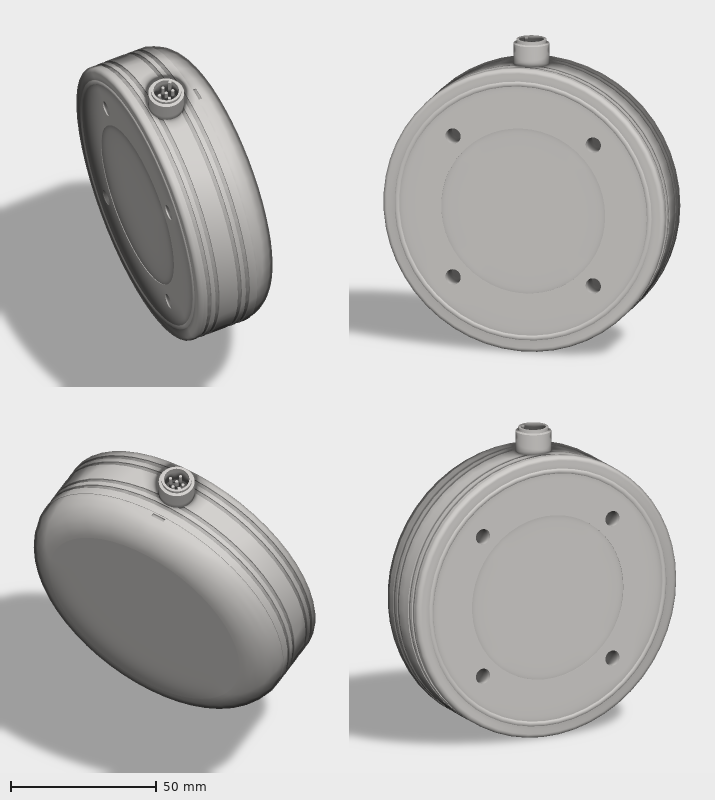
import cadquery as cq
import math

body_radius = 50.2
body_depth = 32.0
rim_fillet = 1.5

band_center = 11.0
groove_depth = 0.5
groove_width = 1.5
inner_groove_offset = 4.2
outer_groove_offset = 7.3

dome_length = 10.1
dome_edge_radius = 50.0
dome_arc_radius = 11.4

bead_radius = 45.0
bead_width = 1.7
bead_height = 0.3
bead_embed = 0.5
recess_radius = 29.2
recess_depth = 0.2
mount_hole_diameter = 5.4
mount_hole_spacing = 50.0
mount_hole_depth = 8.7

window_width = 4.9
window_length = 1.2
window_gap = 0.4
window_floor_height = 49.2

connector_top = 58.5
connector_radius = 6.2
collar_radius = 5.2
collar_height = 1.1
shoulder_slope_height = 0.3
socket_radius = 4.3
socket_floor_chamfer = 0.5
socket_depth = 7.1
socket_floor = connector_top - socket_depth
connector_embed = 3.3

pin_radius = 0.5
pin_circle_radius = 2.5
pin_top_gap = 1.4
pin_count = 4
key_width = 1.1
key_inner_radius = 3.4
key_angle = 135
floor_slot_count = 4
floor_slot_start = 2.4
floor_slot_width = 1.0
floor_slot_depth = 0.5


def make_housing():
    """Revolve the half section, with a flat back, a dome arc and a straight side."""
    dome_start = body_depth - dome_length
    rise = dome_arc_radius - dome_length
    arc_center_x = dome_edge_radius - math.sqrt(dome_arc_radius**2 - rise**2)
    arc_center_y = body_depth - dome_arc_radius
    arc_angle = (math.asin(rise / dome_arc_radius) + math.pi / 2) / 2
    arc_middle = (
        arc_center_x + dome_arc_radius * math.cos(arc_angle),
        arc_center_y + dome_arc_radius * math.sin(arc_angle),
    )
    section = (
        cq.Workplane("XY")
        .lineTo(body_radius, 0)
        .lineTo(body_radius, dome_start)
        .lineTo(dome_edge_radius, dome_start)
        .threePointArc(arc_middle, (arc_center_x, body_depth))
        .lineTo(0, body_depth)
        .close()
    )
    housing = section.revolve(360, (0, 0), (0, 1))
    return housing.faces("<Y").edges().fillet(rim_fillet)


def make_groove(center_y):
    """Ring that cuts one groove around the housing."""
    section = cq.Workplane("XY").center(body_radius, center_y).rect(2 * groove_depth, groove_width)
    return section.revolve(360, (-body_radius, 0), (-body_radius, 1))


def make_bead():
    """Round-topped ring standing out of the front face."""
    half_width = bead_width / 2
    section = (
        cq.Workplane("XY")
        .moveTo(bead_radius - half_width, 0)
        .threePointArc((bead_radius, -bead_height), (bead_radius + half_width, 0))
        .lineTo(bead_radius + half_width, bead_embed)
        .lineTo(bead_radius - half_width, bead_embed)
        .close()
    )
    return section.revolve(360, (0, 0), (0, 1))


def make_front_cuts():
    """Shallow round recess and the four blind mounting holes in the front face."""
    front = cq.Workplane("XZ")
    recess = front.circle(recess_radius).extrude(-recess_depth)
    holes = (
        front.rect(mount_hole_spacing, mount_hole_spacing, forConstruction=True)
        .vertices()
        .circle(mount_hole_diameter / 2)
        .extrude(-mount_hole_depth)
    )
    return recess.union(holes)


def make_window():
    """Block that cuts the flat-bottomed window into the top of the dome."""
    window_start = body_depth - dome_length + window_gap
    window_height = body_radius - window_floor_height
    return (
        cq.Workplane("XY")
        .box(window_width, window_length, window_height, centered=(True, False, False))
        .translate((0, window_start, window_floor_height))
    )


def connector_cylinder(radius, bottom, top):
    """Upright cylinder on the connector axis."""
    return cq.Workplane("XY", origin=(0, band_center, bottom)).circle(radius).extrude(top - bottom)


def make_connector_shell():
    """Stepped outside of the connector, reaching down into the housing."""
    shoulder = connector_top - collar_height
    base = connector_cylinder(connector_radius, socket_floor - connector_embed, shoulder)
    collar = connector_cylinder(collar_radius, shoulder - shoulder_slope_height, connector_top)
    slope = base.faces(">Z").edges().chamfer(shoulder_slope_height, connector_radius - collar_radius)
    return slope.union(collar)


def make_socket():
    """Bore of the connector, narrowed by a sloped foot, with radial slots in its floor."""
    socket = connector_cylinder(socket_radius, socket_floor, connector_top)
    socket = socket.faces("<Z").edges().chamfer(socket_floor_chamfer)
    slot_length = socket_radius - socket_floor_chamfer - floor_slot_start
    for index in range(floor_slot_count):
        slot = (
            cq.Workplane("XY", origin=(0, band_center, socket_floor))
            .transformed(rotate=(0, 0, key_angle + 360 * index / floor_slot_count))
            .center(floor_slot_start + slot_length / 2, 0)
            .rect(slot_length, floor_slot_width)
            .extrude(-floor_slot_depth)
        )
        socket = socket.union(slot)
    return socket


def make_contacts():
    """Centre pin, the pins around it, and the key rib on the socket wall."""
    pin_bottom = socket_floor - connector_embed
    pin_top = connector_top - pin_top_gap
    pin = connector_cylinder(pin_radius, pin_bottom, pin_top)
    contacts = pin
    for index in range(pin_count):
        angle = 2 * math.pi * index / pin_count
        shift = (pin_circle_radius * math.cos(angle), pin_circle_radius * math.sin(angle), 0)
        contacts = contacts.union(pin.translate(shift))
    key_outer_radius = (socket_radius + collar_radius) / 2
    key = (
        cq.Workplane("XY", origin=(0, band_center, pin_bottom))
        .transformed(rotate=(0, 0, key_angle))
        .center((key_inner_radius + key_outer_radius) / 2, 0)
        .rect(key_outer_radius - key_inner_radius, key_width)
        .extrude(connector_top - pin_bottom)
    )
    return contacts.union(key)


result = make_housing()
for offset in (inner_groove_offset, outer_groove_offset):
    for side in (-1, 1):
        result = result.cut(make_groove(band_center + side * offset))
result = result.union(make_bead()).cut(make_front_cuts()).cut(make_window())
result = result.union(make_connector_shell()).cut(make_socket()).union(make_contacts())